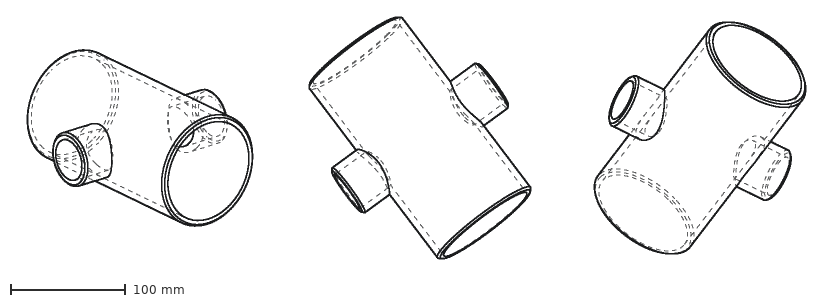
import cadquery as cq

pipe_length = 190.5
pipe_diameter = 101.5
pipe_bore = 90.3

branch_span = 158.5
branch_diameter = 48.4
branch_bore = 36.5

rim_bevel = 2.0


def centered_cylinder(plane, diameter, length):
    """Solid cylinder centred on the origin, along the normal of the plane."""
    return cq.Workplane(plane).circle(diameter / 2).extrude(length / 2, both=True)


def beveled_cylinder(plane, axis, diameter, length, bevel):
    """Centred cylinder with both end rims beveled."""
    end_faces = f"<{axis} or >{axis}"
    return centered_cylinder(plane, diameter, length).faces(end_faces).chamfer(bevel)


main_pipe = beveled_cylinder("YZ", "X", pipe_diameter, pipe_length, rim_bevel)
branches = beveled_cylinder("XZ", "Y", branch_diameter, branch_span, rim_bevel)

result = (
    main_pipe.union(branches)
    .cut(centered_cylinder("YZ", pipe_bore, pipe_length))
    .cut(centered_cylinder("XZ", branch_bore, branch_span))
)